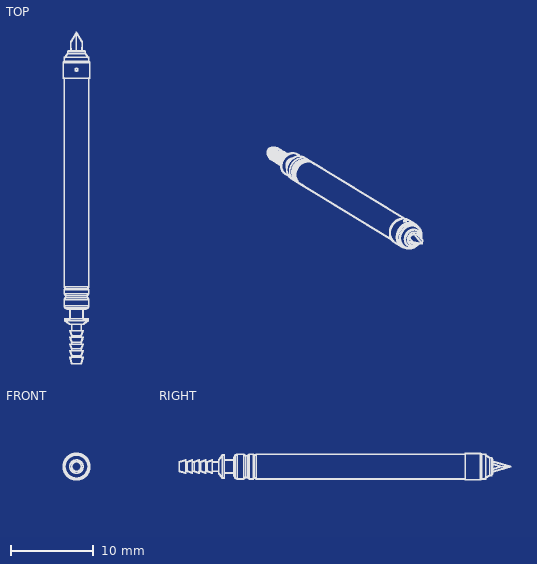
import cadquery as cq

length = 40.0
half_length = length / 2

tip_radius = 0.7
tip_length = 2.2
tip_shoulder = 1.2
tip_root_height = 0.65

nose_face_radius = 0.85
nose_rim_radius = 1.1
nose_rim_start = 2.3
nose_rim_end = 2.55
nose_cone_end = 3.05
nose_cone_radius = 1.4
nose_ring_end = 3.5

collar_radius = 1.6
collar_start = 3.7
collar_end = 5.5
dimple_station = 4.5
dimple_radius = 0.15
dimple_depth = 0.1

body_radius = 1.5
front_groove_start = 30.7
front_groove_bottom = 30.95
front_groove_end = 31.1
front_groove_radius = 1.35
rear_groove_start = 31.5
rear_groove_slope = 0.25
rear_groove_floor_width = 0.25
rear_groove_radius = 1.3
tail_bevel_start = 33.0
tail_bevel_end = 33.25
tail_bevel_radius = 1.4
tail_end = 33.4
tail_end_radius = 1.1

stem_radius = 0.8
flange_radius = 1.4
flange_start = 34.55
flange_rim_end = 34.8
flange_cone_end = 35.25

neck_radius = 0.58
first_barb = 36.0
barb_pitch = 0.8
barb_count = 5
barb_radius = 0.8
barb_taper_length = 0.6


def front_groove_points():
    """Profile points of the V groove, gently sloped in front and steep behind."""
    return [
        (body_radius, front_groove_start),
        (front_groove_radius, front_groove_bottom),
        (body_radius, front_groove_end),
    ]


def rear_groove_points():
    """Profile points of the flat-bottomed groove with equal sloped sides."""
    floor_start = rear_groove_start + rear_groove_slope
    floor_end = floor_start + rear_groove_floor_width
    return [
        (body_radius, rear_groove_start),
        (rear_groove_radius, floor_start),
        (rear_groove_radius, floor_end),
        (body_radius, floor_end + rear_groove_slope),
    ]


def barb_points():
    """Profile points of the barbs: sharp steps up with tapers back to the neck."""
    points = []
    for index in range(barb_count):
        start = first_barb + index * barb_pitch
        points += [
            (neck_radius, start),
            (barb_radius, start),
            (neck_radius, start + barb_taper_length),
        ]
    points[-1] = (neck_radius, length)
    return points


def make_turned_body():
    """Everything behind the cutting tip, turned about the Y axis."""
    profile = [
        (0, tip_length),
        (nose_face_radius, tip_length),
        (nose_rim_radius, nose_rim_start),
        (nose_rim_radius, nose_rim_end),
        (nose_cone_radius, nose_cone_end),
        (body_radius, nose_cone_end),
        (body_radius, nose_ring_end),
        (collar_radius, collar_start),
        (collar_radius, collar_end),
        (body_radius, collar_end),
    ]
    profile += front_groove_points()
    profile += rear_groove_points()
    profile += [
        (body_radius, tail_bevel_start),
        (tail_bevel_radius, tail_bevel_end),
        (tail_end_radius, tail_end),
        (stem_radius, tail_end),
        (stem_radius, flange_start),
        (flange_radius, flange_start),
        (flange_radius, flange_rim_end),
        (stem_radius, flange_cone_end),
        (neck_radius, flange_cone_end),
    ]
    profile += barb_points()
    profile.append((0, length))

    outline = [(radius, half_length - station) for radius, station in profile]
    return cq.Workplane("XY").polyline(outline).close().revolve(360, (0, 0, 0), (0, 1, 0))


def make_tip():
    """Four-sided point whose side edges are rounded off by the tip cylinder."""
    root_half_width = tip_radius * tip_length / tip_shoulder
    root_y = half_length - tip_length
    apex = cq.Vector(0, half_length, 0)
    corners = [
        cq.Vector(root_half_width, root_y, 0),
        cq.Vector(0, root_y, tip_root_height),
        cq.Vector(-root_half_width, root_y, 0),
        cq.Vector(0, root_y, -tip_root_height),
    ]
    outlines = [corners]
    for index, corner in enumerate(corners):
        outlines.append([corners[index - 1], corner, apex])
    faces = []
    for outline in outlines:
        wire = cq.Wire.makePolygon(outline, close=True)
        faces.append(cq.Face.makeFromWires(wire))
    pyramid = cq.Workplane(cq.Solid.makeSolid(cq.Shell.makeShell(faces)))
    cylinder = (
        cq.Workplane("XZ", origin=(0, half_length, 0))
        .circle(tip_radius)
        .extrude(tip_length)
    )
    return cylinder.intersect(pyramid)


def make_dimple():
    """Small round marker sunk into the top of the collar."""
    return (
        cq.Workplane("XY", origin=(0, half_length - dimple_station, collar_radius - dimple_depth))
        .circle(dimple_radius)
        .extrude(2 * dimple_depth)
    )


result = make_turned_body().union(make_tip()).cut(make_dimple())